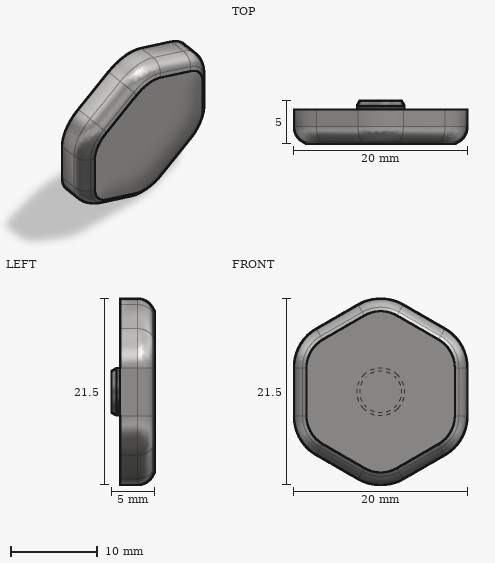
import cadquery as cq
import math

side_count = 6
width_across_flats = 20.0
height_across_corners = 21.5
cap_thickness = 4.0

rim_round_radius = 2.0
rim_depth = cap_thickness / 2
border_slope = math.radians(30)

stud_diameter = 5.5
stud_height = cap_thickness / 4
stud_tip_length = 0.6
stud_tip_angle = math.radians(30)

half_side_angle = math.pi / side_count
sharp_corner_distance = width_across_flats / 2 / math.cos(half_side_angle)
corner_pull_in = sharp_corner_distance - height_across_corners / 2
corner_radius = corner_pull_in / (1 / math.cos(half_side_angle) - 1)

rim_turn_angle = math.pi / 2 - border_slope
rim_tangent_length = rim_round_radius * math.tan(rim_turn_angle / 2)
border_depth = rim_depth - rim_tangent_length
border_inset = border_depth / math.tan(border_slope)


def hexagon_corners():
    """Sharp corners of the hexagon in X and Z, before rounding."""
    angles = [half_side_angle * (2 * i + 1) for i in range(side_count)]
    return [(sharp_corner_distance * math.cos(a), sharp_corner_distance * math.sin(a)) for a in angles]


def make_cap():
    """Rounded hexagonal plate with a sloped and rounded front rim."""
    plate = cq.Workplane("XZ").polyline(hexagon_corners()).close().extrude(cap_thickness)
    plate = plate.edges("|Y").fillet(corner_radius)

    plate = plate.faces("<Y").chamfer(border_depth, border_inset)

    return plate.edges("<<Y[2]").fillet(rim_round_radius)


def make_stud():
    """Short round stud on the back face, narrowing at its free end."""
    stud = cq.Workplane("XZ").circle(stud_diameter / 2).extrude(-stud_height)
    tip_inset = stud_tip_length * math.tan(stud_tip_angle)
    return stud.faces(">Y").chamfer(stud_tip_length, tip_inset)


cap = make_cap()
stud = make_stud()

result = cq.Compound.makeCompound([cap.solids().val(), stud.solids().val()])